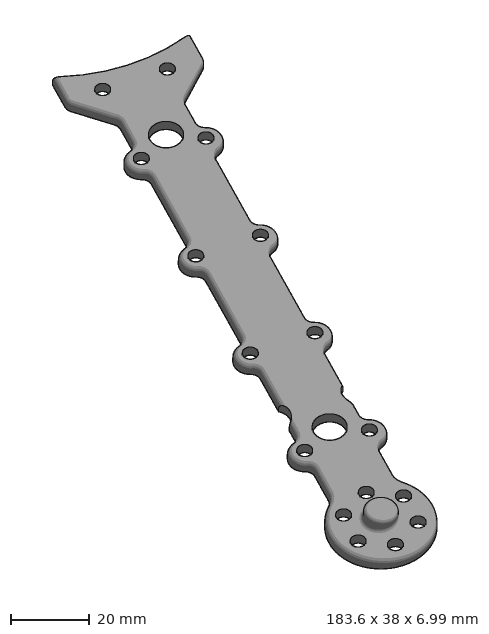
import cadquery as cq
import math

plate_thickness = 3.175
bar_half_width = 8.89
edge_fillet = 1.778
small_hole_diameter = 4.064

disc_radius = 14.2875
disc_blend_radius = 5.08
disc_hole_count = 6
disc_hole_circle_radius = 9.525

knob_height = 3.81
knob_radius = 4.445
knob_fillet = knob_height / 3

overall_length = 183.62
overall_width = 37.97
tail_flat_length = 9.3
tail_blend_radius = 3.0
tail_end_radius = 49.5
tail_hole_inset = 8.89

ear_pitch = 35.56
ear_count = 4
last_ear_x = -28.575
ear_radius = 4.445
ear_blend_radius = 2.54

large_hole_diameter = 8.89
large_hole_xs = (-140.2, -33.4)

notch_x = -42.2
notch_radius = 4.445
notch_depth = 1.7

tail_half_width = overall_width / 2
tail_tip_x = disc_radius - overall_length
tail_hole_x = tail_tip_x + tail_hole_inset
hole_row_y = bar_half_width
tail_flare = tail_half_width - bar_half_width
flare_start_x = tail_tip_x + tail_flat_length
flare_end_x = flare_start_x + tail_flare
ear_xs = [last_ear_x - i * ear_pitch for i in range(ear_count)]
SIDES = (1, -1)


def cylinder(x, y, radius, height):
    """Upright cylinder standing on the underside plane."""
    return cq.Workplane("XY").center(x, y).circle(radius).extrude(height)


def upright_edges_near(body, x, y):
    """Select the upright edges that pass close to (x, y)."""
    reach = 0.05
    box = cq.selectors.BoxSelector(
        (x - reach, y - reach, 0), (x + reach, y + reach, plate_thickness)
    )
    return body.edges("|Z").edges(box)


def chord_half_length(radius, center_y):
    """Half the length that a circle cuts from the side line of the bar."""
    return math.sqrt(radius**2 - (bar_half_width - center_y) ** 2)


def make_bar_and_tail():
    """Straight bar that flares at 45 degrees to a square-ended tail."""
    upper = [
        (0, bar_half_width),
        (flare_end_x, bar_half_width),
        (flare_start_x, tail_half_width),
        (tail_tip_x, tail_half_width),
    ]
    lower = [(x, -y) for x, y in reversed(upper)]
    body = cq.Workplane("XY").polyline(upper + lower).close().extrude(plate_thickness)
    for side in SIDES:
        for x, y in upper[1:3]:
            body = upright_edges_near(body, x, side * y).fillet(tail_blend_radius)
    return body


def add_disc(body):
    """Round end, blended into both sides of the bar."""
    body = body.union(cylinder(0, 0, disc_radius, plate_thickness))
    corner_x = -chord_half_length(disc_radius, 0)
    for side in SIDES:
        body = upright_edges_near(body, corner_x, side * bar_half_width).fillet(disc_blend_radius)
    return body


def add_ears(body):
    """Ears along both sides, blended into the bar."""
    half_chord = chord_half_length(ear_radius, hole_row_y)
    for side in SIDES:
        for x in ear_xs:
            body = body.union(cylinder(x, side * hole_row_y, ear_radius, plate_thickness))
            for corner_x in (x - half_chord, x + half_chord):
                corner = upright_edges_near(body, corner_x, side * bar_half_width)
                body = corner.fillet(ear_blend_radius)
    return body


def round_top_edge(body):
    """Round the top edge everywhere but across the tail end."""
    return body.faces(">Z").edges("not(<X)").fillet(edge_fillet)


def cut_tail_end(body):
    """Concave arc across the tail end, meeting the tips of the tail."""
    center_x = tail_tip_x - math.sqrt(tail_end_radius**2 - tail_half_width**2)
    return body.cut(cylinder(center_x, 0, tail_end_radius, plate_thickness))


def cut_notches(body):
    """Shallow round notch in each side of the bar."""
    center_y = bar_half_width - notch_depth + notch_radius
    for side in SIDES:
        body = body.cut(cylinder(notch_x, side * center_y, notch_radius, plate_thickness))
    return body


def cut_holes(body, points, diameter):
    """Through holes at the given points."""
    for x, y in points:
        body = body.cut(cylinder(x, y, diameter / 2, plate_thickness))
    return body


def make_knob():
    """Turned knob with a rounded top and a flared foot."""
    foot_z = plate_thickness
    top_z = foot_z + knob_height
    diagonal = knob_fillet * math.sqrt(0.5)
    profile = (
        cq.Workplane("XZ")
        .moveTo(0, 0)
        .lineTo(knob_radius + knob_fillet, 0)
        .lineTo(knob_radius + knob_fillet, foot_z)
        .threePointArc(
            (knob_radius + knob_fillet - diagonal, foot_z + knob_fillet - diagonal),
            (knob_radius, foot_z + knob_fillet),
        )
        .lineTo(knob_radius, top_z - knob_fillet)
        .threePointArc(
            (knob_radius - knob_fillet + diagonal, top_z - knob_fillet + diagonal),
            (knob_radius - knob_fillet, top_z),
        )
        .lineTo(0, top_z)
        .close()
    )
    return profile.revolve(360, (0, 0, 0), (0, 1, 0))


hole_angles = [2 * math.pi * i / disc_hole_count for i in range(disc_hole_count)]
disc_holes = [
    (disc_hole_circle_radius * math.cos(a), disc_hole_circle_radius * math.sin(a))
    for a in hole_angles
]
ear_holes = [(x, side * hole_row_y) for x in ear_xs for side in SIDES]
tail_holes = [(tail_hole_x, side * hole_row_y) for side in SIDES]
large_holes = [(x, 0) for x in large_hole_xs]

plate = add_ears(add_disc(make_bar_and_tail()))
plate = cut_notches(cut_tail_end(round_top_edge(plate)))
plate = cut_holes(plate, disc_holes, small_hole_diameter)
plate = cut_holes(plate, ear_holes, small_hole_diameter)
plate = cut_holes(plate, tail_holes, small_hole_diameter)
plate = cut_holes(plate, large_holes, large_hole_diameter)

result = plate.union(make_knob())